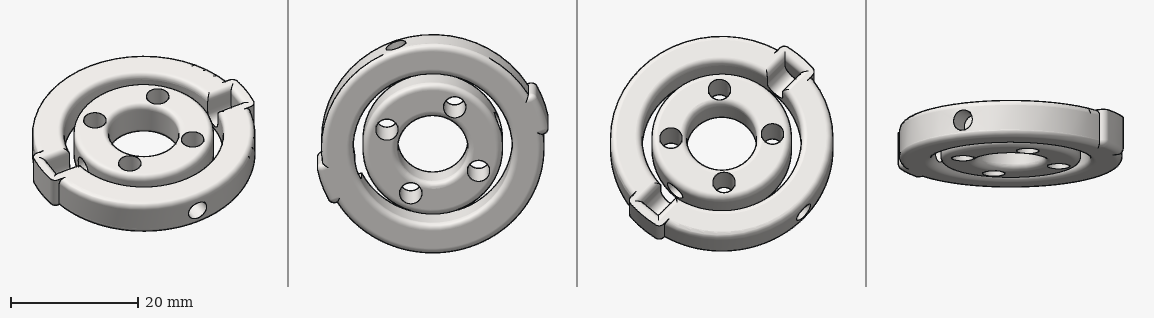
import cadquery as cq
import math

thickness = 6.0
mid_height = thickness / 2
edge_radius = 1.0
pin_diameter = 3.25

ring_diameter = 35.0
ring_opening_diameter = 25.02
lug_span = 36.95
lug_width = 7.0
slot_end = 16.55
ring_pin_hole_depth = 4.0

disc_diameter = 22.0
bore_diameter = 11.0
mount_hole_diameter = 3.5
mount_hole_circle_radius = 8.0
mount_hole_count = 4
first_mount_hole_angle = 45
disc_pin_hole_depth = 3.7


def cylinder(diameter):
    """Upright cylinder of the part thickness standing on the base plane."""
    return cq.Workplane("XY").circle(diameter / 2).extrude(thickness)


def make_lugs():
    """Bar across the ring whose ends follow a circle, rounded on its sides and bottom."""
    bar = cq.Workplane("XY").box(lug_width, lug_span, thickness, centered=(True, True, False))
    bar = bar.intersect(cylinder(lug_span))
    return bar.edges("|Z").fillet(edge_radius).faces("<Z").edges().fillet(edge_radius)


def make_pin_slot():
    """Round-bottomed slot, open at the top and running to both lugs."""
    channel = (
        cq.Workplane("XZ", origin=(0, 0, mid_height))
        .circle(pin_diameter / 2)
        .extrude(slot_end, both=True)
    )
    opening = cq.Workplane("XY", origin=(0, 0, mid_height)).box(
        pin_diameter, 2 * slot_end, thickness - mid_height, centered=(True, True, False)
    )
    return channel.union(opening)


def make_ring():
    """Outer ring with two slotted lugs along Y and two blind pin holes along X."""
    ring = cylinder(ring_diameter).faces("<Z or >Z").edges().fillet(edge_radius)
    ring = ring.union(make_lugs())
    ring = ring.cut(cylinder(ring_opening_diameter)).cut(make_pin_slot())

    margin = 0.37
    reach_x = ring_opening_diameter / 2 + margin
    reach_y = slot_end + margin
    inner_reach = cq.selectors.BoxSelector(
        (-reach_x, -reach_y, -margin),
        (reach_x, reach_y, thickness + margin),
        boundingbox=True,
    )
    ring = ring.faces(">Z").edges(inner_reach).fillet(edge_radius)
    ring = ring.faces("<Z").edges(inner_reach).fillet(edge_radius)

    for side in (-1, 1):
        pin_hole = (
            cq.Workplane("YZ", origin=(side * ring_diameter / 2, 0, mid_height))
            .circle(pin_diameter / 2)
            .extrude(-side * ring_pin_hole_depth)
        )
        ring = ring.cut(pin_hole)
    return ring


def make_disc():
    """Inner disc with a central bore, four mounting holes and two blind pin holes along Y."""
    disc = cylinder(disc_diameter).cut(cylinder(bore_diameter))
    disc = disc.faces("<Z or >Z").edges().fillet(edge_radius)
    for index in range(mount_hole_count):
        angle = math.radians(first_mount_hole_angle + index * 360 / mount_hole_count)
        x = mount_hole_circle_radius * math.cos(angle)
        y = mount_hole_circle_radius * math.sin(angle)
        disc = disc.cut(cylinder(mount_hole_diameter).translate((x, y, 0)))
    for side in (-1, 1):
        pin_hole = (
            cq.Workplane("XZ", origin=(0, side * disc_diameter / 2, mid_height))
            .circle(pin_diameter / 2)
            .extrude(side * disc_pin_hole_depth)
        )
        disc = disc.cut(pin_hole)
    return disc


ring = make_ring()
disc = make_disc()
result = cq.Compound.makeCompound([ring.val(), disc.val()])